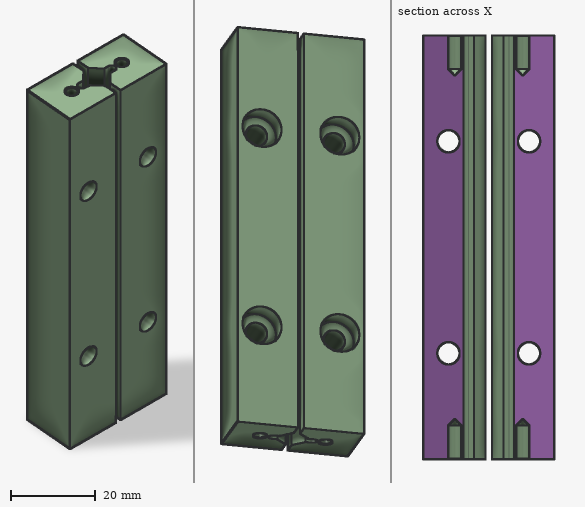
import cadquery as cq
import math

pair_height = 31.0
gap = 1.5
width = 15.0
length = 100.0
outer_face = pair_height / 2
inner_face = gap / 2
edge_chamfer = 0.13

groove_half_width = 3.8
relief_width = 2.2
relief_radius = relief_width / 2
relief_bottom = 5.9
v_root = inner_face + groove_half_width - relief_radius

hole_offset = 9.5
hole_pitch = 50.0
hole_diameter = 5.2
counterbore_diameter = 9.5
counterbore_depth = 5.1

end_hole_offset = 8.0
end_hole_diameter = 3.0
end_hole_depth = 8.0
end_hole_chamfer = 0.2
drill_point_angle = 90.0


def rail_blank():
    """Rectangular bar on the +Y side, with the edges of its outer face broken."""
    blank = cq.Workplane("XY").box(width, outer_face - inner_face, length)
    blank = blank.translate((0, (outer_face + inner_face) / 2, 0))
    return blank.faces(">Y").edges().chamfer(edge_chamfer)


def raceway():
    """V groove and relief slot, running the full length."""
    return (
        cq.Workplane("XY", origin=(0, 0, -length / 2))
        .moveTo(-groove_half_width, inner_face)
        .lineTo(-relief_radius, v_root)
        .lineTo(-relief_radius, relief_bottom - relief_radius)
        .threePointArc((0, relief_bottom), (relief_radius, relief_bottom - relief_radius))
        .lineTo(relief_radius, v_root)
        .lineTo(groove_half_width, inner_face)
        .close()
        .extrude(length)
    )


def mounting_hole(z):
    """Through hole along X, counterbored from the -X side."""
    start = cq.Workplane("YZ", origin=(-width / 2, hole_offset, z))
    bore = start.circle(hole_diameter / 2).extrude(width)
    counterbore = start.circle(counterbore_diameter / 2).extrude(counterbore_depth)
    return bore.union(counterbore)


def end_hole():
    """Blind drilled hole in the upper end, with a conical bottom and a chamfered mouth."""
    radius = end_hole_diameter / 2
    point_height = radius / math.tan(math.radians(drill_point_angle / 2))
    profile = [
        (0, 0),
        (radius + end_hole_chamfer, 0),
        (radius, -end_hole_chamfer),
        (radius, -end_hole_depth),
        (0, -end_hole_depth - point_height),
    ]
    hole = cq.Workplane("XZ").polyline(profile).close().revolve(360, (0, 0), (0, 1))
    return hole.translate((0, end_hole_offset, length / 2))


def rail():
    """Rail on the +Y side of the pair."""
    upper_end_hole = end_hole()
    body = rail_blank().cut(raceway())
    for z in (-hole_pitch / 2, hole_pitch / 2):
        body = body.cut(mounting_hole(z))
    return body.cut(upper_end_hole).cut(upper_end_hole.mirror("XY"))


back_rail = rail()
front_rail = back_rail.mirror("XZ")

result = cq.Compound.makeCompound([back_rail.val(), front_rail.val()])